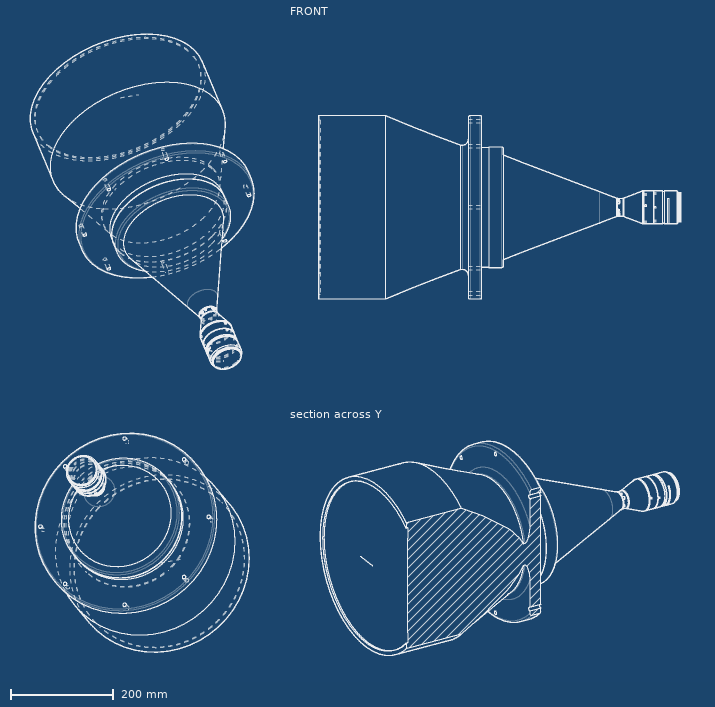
import cadquery as cq
import math


overall_length = 705.0

barrel_radius = 179.0
barrel_length = 130.0
glass_radius = 170.0
glass_recess = 3.5
glass_bulge = 1.5

waist_radius = 121.0
waist_start = 276.0
waist_fillet = 11.0

flange_radius = barrel_radius
flange_start = 291.0
flange_end = 317.0
flange_front_fillet = 4.0
flange_rear_fillet = 3.0
waist_end = flange_start - waist_fillet
bolt_count = 8
bolt_circle_radius = 168.0
bolt_hole_diameter = 7.0

collar_radius = 118.0
collar_front_radius = 117.0
collar_step = 331.0
collar_end = 359.5
collar_fillet = 3.5

cone_start_radius = 102.0
cone_end = 546.0
cone_end_radius = 31.0

neck_radius = 18.0
neck_start = 579.0
neck_end = 594.0
neck_rim = 2.0
neck_band_depth = 1.0
neck_hole_position = 583.5
neck_hole_depth = 3.0
neck_hole_count = 4
large_neck_hole_diameter = 6.0
large_neck_hole_angle = 37.5
small_neck_hole_diameter = 3.5
small_neck_hole_angle = -20.0

mount_radius = 32.5
mount_start = 631.0
mount_end = 700.0
mount_chamfer = 3.0
seam_depth = 1.0
front_seam_start = 632.0
front_seam_width = 1.5
ring_seam_start = 652.0
ring_seam_width = 1.0
mount_groove_start = 669.0
mount_groove_width = 4.0
mount_groove_depth = 1.5
arc_slot_start = 679.5
arc_slot_width = 2.0
arc_slot_depth = 1.0
arc_slot_lower_angle = -90.0
arc_slot_upper_angle = 33.0

set_screw_count = 3
set_screw_diameter = 3.5
set_screw_depth = 3.0
front_set_screw_position = 636.5
front_set_screw_angle = 6.0
rear_set_screw_position = 655.0
rear_set_screw_angle = 0.0

thread_radius = 29.0
thread_depth = 1.0
thread_ridges = 3
thread_pitch = (overall_length - mount_end) / thread_ridges


def revolve_about_axis(profile, sweep=360):
    return profile.close().revolve(sweep, (0, 0, 0), (1, 0, 0))


def ring_groove(start, width, radius, depth, sweep=360):
    """Square groove to cut into a cylinder; a partial sweep turns from +Y towards +Z."""
    outline = (
        cq.Workplane("XY")
        .moveTo(start, radius - depth)
        .lineTo(start + width, radius - depth)
        .lineTo(start + width, radius + depth)
        .lineTo(start, radius + depth)
    )
    return revolve_about_axis(outline, sweep)


def radial_holes(position, radius, diameter, depth, count, first_angle):
    """Evenly spaced blind holes drilled from a cylinder surface towards the axis."""
    hole = (
        cq.Workplane("XZ", origin=(position, depth - radius, 0))
        .circle(diameter / 2)
        .extrude(2 * depth)
    )
    holes = cq.Workplane("XY")
    for index in range(count):
        angle = first_angle + index * 360 / count
        holes = holes.add(hole.rotate((0, 0, 0), (1, 0, 0), -angle))
    return holes.combine()


def front_section():
    """Barrel, taper, waist, flange and collar."""
    arc_share = math.sin(math.radians(45))
    glass_top = glass_recess - glass_bulge
    fillet_middle = (
        waist_end + waist_fillet * arc_share,
        waist_radius + waist_fillet * (1 - arc_share),
    )
    outline = (
        cq.Workplane("XY")
        .moveTo(glass_top, 0)
        .threePointArc((glass_top + glass_bulge / 4, glass_radius / 2), (glass_recess, glass_radius))
        .lineTo(0, glass_radius)
        .lineTo(0, barrel_radius)
        .lineTo(barrel_length, barrel_radius)
        .lineTo(waist_start, waist_radius)
        .lineTo(waist_end, waist_radius)
        .threePointArc(fillet_middle, (flange_start, waist_radius + waist_fillet))
        .lineTo(flange_start, flange_radius - flange_front_fillet)
        .tangentArcPoint((flange_front_fillet, flange_front_fillet))
        .lineTo(flange_end - flange_rear_fillet, flange_radius)
        .tangentArcPoint((flange_rear_fillet, -flange_rear_fillet))
        .lineTo(flange_end, collar_front_radius)
        .lineTo(collar_step, collar_front_radius)
        .lineTo(collar_step, collar_radius)
        .lineTo(collar_end - collar_fillet, collar_radius)
        .tangentArcPoint((collar_fillet, -collar_fillet))
        .lineTo(collar_end, 0)
    )
    return revolve_about_axis(outline)


def rear_section():
    """Rear cone, neck, camera mount and thread."""
    outline = (
        cq.Workplane("XY")
        .moveTo(collar_end, 0)
        .lineTo(collar_end, cone_start_radius)
        .lineTo(cone_end, cone_end_radius)
        .lineTo(neck_start, neck_radius)
        .lineTo(neck_end, neck_radius)
        .lineTo(mount_start, mount_radius)
        .lineTo(mount_end - mount_chamfer, mount_radius)
        .lineTo(mount_end, mount_radius - mount_chamfer)
        .lineTo(mount_end, thread_radius)
    )
    for ridge in range(thread_ridges):
        ridge_start = mount_end + ridge * thread_pitch
        outline = (
            outline
            .lineTo(ridge_start + thread_pitch / 2, thread_radius - thread_depth)
            .lineTo(ridge_start + thread_pitch, thread_radius)
        )
    return revolve_about_axis(outline.lineTo(overall_length, 0))


def flange_bolt_holes():
    return (
        cq.Workplane("YZ", origin=(flange_start, 0, 0))
        .polarArray(bolt_circle_radius, 0, 360, bolt_count)
        .circle(bolt_hole_diameter / 2)
        .extrude(flange_end - flange_start)
    )


def cut_neck_details(body):
    band_width = neck_end - neck_start - 2 * neck_rim
    body = body.cut(ring_groove(neck_start + neck_rim, band_width, neck_radius, neck_band_depth))
    for diameter, angle in (
        (large_neck_hole_diameter, large_neck_hole_angle),
        (small_neck_hole_diameter, small_neck_hole_angle),
    ):
        holes = radial_holes(
            neck_hole_position, neck_radius, diameter, neck_hole_depth, neck_hole_count, angle
        )
        body = body.cut(holes)
    return body


def mount_arc_slot():
    sweep = arc_slot_upper_angle - arc_slot_lower_angle
    slot = ring_groove(arc_slot_start, arc_slot_width, mount_radius, arc_slot_depth, sweep)
    return slot.rotate((0, 0, 0), (1, 0, 0), 180 - arc_slot_upper_angle)


def cut_mount_details(body):
    for start, width, depth in (
        (front_seam_start, front_seam_width, seam_depth),
        (ring_seam_start, ring_seam_width, seam_depth),
        (mount_groove_start, mount_groove_width, mount_groove_depth),
    ):
        body = body.cut(ring_groove(start, width, mount_radius, depth))
    for position, angle in (
        (front_set_screw_position, front_set_screw_angle),
        (rear_set_screw_position, rear_set_screw_angle),
    ):
        holes = radial_holes(
            position, mount_radius, set_screw_diameter, set_screw_depth, set_screw_count, angle
        )
        body = body.cut(holes)
    return body.cut(mount_arc_slot())


lens = front_section().union(rear_section()).cut(flange_bolt_holes())
lens = cut_neck_details(lens)
result = cut_mount_details(lens)